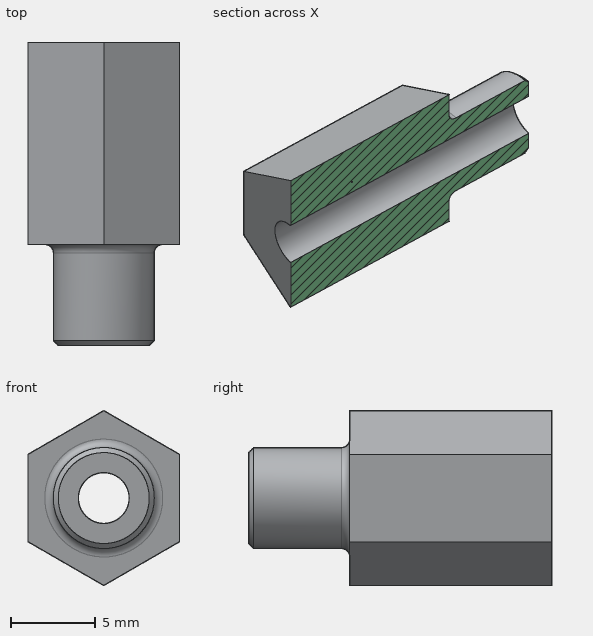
import cadquery as cq
import math

across_flats = 9.0
body_length = 12.0
across_corners = across_flats / math.cos(math.radians(30))

spigot_diameter = 6.0
spigot_length = 6.0
tip_chamfer = 0.3
root_fillet = 0.5

bore_diameter = 3.0
total_length = body_length + spigot_length


def hex_body():
    """Hexagonal prism from the shoulder at Y = 0 to the +Y end."""
    return (
        cq.Workplane("XZ")
        .transformed(rotate=(0, 0, 90))
        .polygon(6, across_corners)
        .extrude(-body_length)
    )


def spigot():
    """Cylinder from the shoulder toward -Y, chamfered at its tip."""
    return (
        cq.Workplane("XZ")
        .circle(spigot_diameter / 2)
        .extrude(spigot_length)
        .faces("<Y")
        .chamfer(tip_chamfer)
    )


def fillet_root(part):
    """Round the inside corner where the spigot meets the shoulder."""
    edge_finder = cq.selectors.RadiusNthSelector(-1)
    return part.edges(edge_finder).edges(">Y").fillet(root_fillet)


def bore():
    """Through hole on the Y axis."""
    return (
        cq.Workplane("XZ", origin=(0, body_length, 0))
        .circle(bore_diameter / 2)
        .extrude(total_length)
    )


outer_shape = fillet_root(hex_body().union(spigot()))
result = outer_shape.cut(bore())